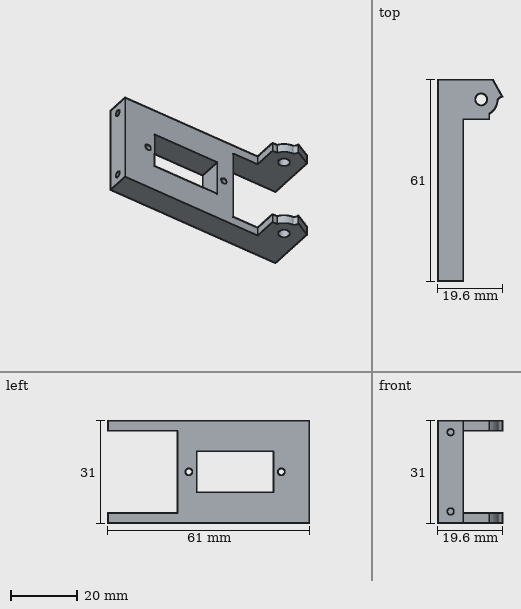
import cadquery as cq
import math

length = 61.0
height = 31.0
plate_thickness = 7.75
arm_thickness = 3.1
fork_depth = 21.0

lug_depth = 12.0
lug_foot_x = 15.6
top_corner_x = 16.65
stop_tip_x = 19.6
stop_tip_drop = 5.25
pivot_x = 13.1
pivot_y = length - lug_depth / 2
pivot_hole_diameter = 3.55
knuckle_radius = 5.0
blend_start_angle = -3.0
blend_middle_x = 18.5
blend_middle_drop = 5.7

window_length = 23.2
window_height = 12.3
window_center_y = 22.5
screw_hole_diameter = 2.0
window_hole_spacing = 28.0

end_hole_spacing = 24.0
end_hole_depth = 10.0

mid_z = height / 2
through = 2 * plate_thickness


def make_profile():
    """Outline of the plate and lug, extruded to the full height."""
    foot_angle = -math.acos((lug_foot_x - pivot_x) / knuckle_radius)
    blend_angle = math.radians(blend_start_angle)

    def on_knuckle(angle):
        return (
            pivot_x + knuckle_radius * math.cos(angle),
            pivot_y + knuckle_radius * math.sin(angle),
        )

    return (
        cq.Workplane("XY")
        .lineTo(plate_thickness, 0)
        .lineTo(plate_thickness, length - lug_depth)
        .lineTo(lug_foot_x, length - lug_depth)
        .lineTo(*on_knuckle(foot_angle))
        .threePointArc(on_knuckle((foot_angle + blend_angle) / 2), on_knuckle(blend_angle))
        .threePointArc(
            (blend_middle_x, length - blend_middle_drop),
            (stop_tip_x, length - stop_tip_drop),
        )
        .lineTo(top_corner_x, length)
        .lineTo(0, length)
        .close()
        .extrude(height)
    )


def make_fork_gap():
    """Space between the two arms."""
    return cq.Workplane("XY").box(
        stop_tip_x, fork_depth, height - 2 * arm_thickness, centered=(False, False, True)
    ).translate((0, length - fork_depth, mid_z))


def make_window():
    """Rectangular opening through the plate, with its two mounting holes."""
    center_plane = cq.Workplane("YZ", origin=(0, window_center_y, mid_z))
    opening = center_plane.rect(window_length, window_height).extrude(through)
    holes = (
        center_plane.rarray(window_hole_spacing, 0.6, 2, 1)
        .circle(screw_hole_diameter / 2)
        .extrude(through)
    )
    return opening.union(holes)


def make_end_holes():
    """Two blind holes running in +Y from the end face."""
    return (
        cq.Workplane("XZ", origin=(plate_thickness / 2, 0, mid_z))
        .rarray(0.6, end_hole_spacing, 1, 2)
        .circle(screw_hole_diameter / 2)
        .extrude(-end_hole_depth)
    )


def make_pivot_holes():
    """Hinge pin hole through both arms."""
    return (
        cq.Workplane("XY", origin=(pivot_x, pivot_y, 0))
        .circle(pivot_hole_diameter / 2)
        .extrude(height)
    )


result = (
    make_profile()
    .cut(make_fork_gap())
    .cut(make_window())
    .cut(make_end_holes())
    .cut(make_pivot_holes())
)